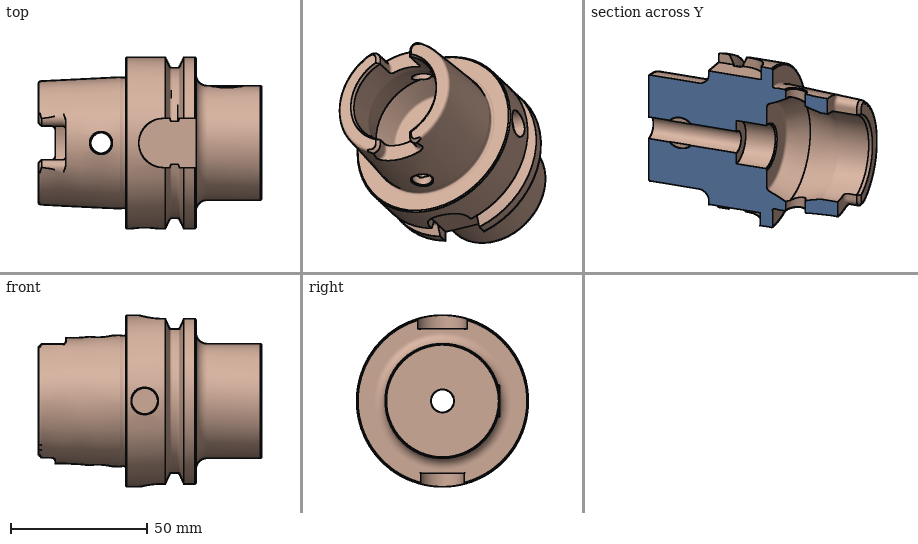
import cadquery as cq
import math

TOTAL_LENGTH = 81.9

TAPER_END_X = 29.9
TAPER_END_RADIUS = 24.2
TAPER_SLOPE = 0.05
NOSE_FILLET = 1.2

RELIEF_START_X = 30.8
RELIEF_RADIUS = 24.0
RELIEF_ARC_X = 31.5
RELIEF_ARC_RADIUS = 0.65
RELIEF_FACE_RADIUS = 25.3

FLANGE_START_X = 32.0
FLANGE_END_X = 57.8
FLANGE_RADIUS = 63.0 / 2
FLANGE_CHAMFER = 0.5
GROOVE_CENTRE_X = 49.95
GROOVE_MOUTH_HALF = 3.4
GROOVE_FLOOR_RADIUS = 27.6
GROOVE_WALL_ANGLE = 26.0
GROOVE_FILLET = 0.65

BARREL_RADIUS = 21.05
BARREL_FILLET = 4.0
BARREL_CHAMFER = 0.5

BORE_RADIUS = 16.95
BORE_DEPTH = 34.4
BORE_MOUTH_CHAMFER = 0.65
CAVITY_START_X = 13.0
CAVITY_WIDEST_X = 26.2
CAVITY_WIDEST_RADIUS = 20.55
CAVITY_FLOOR_RADIUS = 16.8
BORE_FLOOR_FILLET = 1.2
COUNTERBORE_RADIUS = 8.4
COUNTERBORE_CHAMFER = 0.5
COUNTERBORE_DEPTH = 12.3
COOLANT_RADIUS = 4.2

SLOT_HALF_WIDTH = 6.15
SLOT_CORNER_RADIUS = 2.9
SLOT_CORNER_Z = 18.0
SLOT_SHELF_ANGLE = 18.0
SLOT_EDGE = 1.2
UPPER_SLOT_DEPTH = 10.15
LOWER_SLOT_DEPTH = 6.15

KEYWAY_FLOOR_Z = 26.45
UPPER_KEYWAY_WIDTH = 18.0
UPPER_KEYWAY_START_X = 36.85
LOWER_KEYWAY_WIDTH = 16.05
LOWER_KEYWAY_START_X = 37.35

ACCESS_HOLE_X = 23.0
ACCESS_HOLE_RADIUS = 3.8
ACCESS_HOLE_CHAMFER = 0.4
CHIP_HOLE_X = 39.0
CHIP_HOLE_RADIUS = 5.0
CHIP_HOLE_DEPTH = 4.6
CHIP_HOLE_FLOOR_CHAMFER = 0.25

SCREW_X = 69.2
SCREW_RADIUS = 6.0
SCREW_CHAMFER = 0.5

CLEARANCE = 0.8


def turned_blank():
    """Outside of the holder, turned about the X axis, with the gripper groove still missing."""
    face_radius = TAPER_END_RADIUS - TAPER_SLOPE * TAPER_END_X
    arc_end_x = RELIEF_ARC_X + RELIEF_ARC_RADIUS
    arc_end_radius = RELIEF_RADIUS + RELIEF_ARC_RADIUS
    arc_mid_x = RELIEF_ARC_X + RELIEF_ARC_RADIUS * math.sin(math.pi / 4)
    arc_mid_radius = arc_end_radius - RELIEF_ARC_RADIUS * math.cos(math.pi / 4)
    fillet_end_x = FLANGE_END_X + BARREL_FILLET
    fillet_top_radius = BARREL_RADIUS + BARREL_FILLET
    fillet_mid = BARREL_FILLET * math.cos(math.pi / 4)
    profile = (
        cq.Workplane("XY")
        .lineTo(0, face_radius)
        .lineTo(TAPER_END_X, TAPER_END_RADIUS)
        .lineTo(RELIEF_START_X, RELIEF_RADIUS)
        .lineTo(RELIEF_ARC_X, RELIEF_RADIUS)
        .threePointArc((arc_mid_x, arc_mid_radius), (arc_end_x, arc_end_radius))
        .lineTo(FLANGE_START_X, RELIEF_FACE_RADIUS)
        .lineTo(FLANGE_START_X, FLANGE_RADIUS - FLANGE_CHAMFER)
        .lineTo(FLANGE_START_X + FLANGE_CHAMFER, FLANGE_RADIUS)
        .lineTo(FLANGE_END_X - FLANGE_CHAMFER, FLANGE_RADIUS)
        .lineTo(FLANGE_END_X, FLANGE_RADIUS - FLANGE_CHAMFER)
        .lineTo(FLANGE_END_X, fillet_top_radius)
        .threePointArc(
            (fillet_end_x - fillet_mid, fillet_top_radius - fillet_mid),
            (fillet_end_x, BARREL_RADIUS),
        )
        .lineTo(TOTAL_LENGTH - BARREL_CHAMFER, BARREL_RADIUS)
        .lineTo(TOTAL_LENGTH, BARREL_RADIUS - BARREL_CHAMFER)
        .lineTo(TOTAL_LENGTH, 0)
        .close()
    )
    blank = profile.revolve(360, (0, 0, 0), (1, 0, 0))
    return blank.faces("<X").edges().fillet(NOSE_FILLET)


def gripper_groove():
    """Ring with sloping walls and rounded floor corners, cut around the flange."""
    wall_slope = math.tan(math.radians(GROOVE_WALL_ANGLE))
    floor_half = GROOVE_MOUTH_HALF - (FLANGE_RADIUS - GROOVE_FLOOR_RADIUS) * wall_slope
    outer_radius = FLANGE_RADIUS + CLEARANCE
    outer_half = GROOVE_MOUTH_HALF + CLEARANCE * wall_slope
    ring = (
        cq.Workplane("XY")
        .moveTo(GROOVE_CENTRE_X - outer_half, outer_radius)
        .lineTo(GROOVE_CENTRE_X - floor_half, GROOVE_FLOOR_RADIUS)
        .lineTo(GROOVE_CENTRE_X + floor_half, GROOVE_FLOOR_RADIUS)
        .lineTo(GROOVE_CENTRE_X + outer_half, outer_radius)
        .close()
        .revolve(360, (0, 0, 0), (1, 0, 0))
    )
    floor_corners = cq.selectors.RadiusNthSelector(0)
    return ring.edges(floor_corners).fillet(GROOVE_FILLET)


def axial_disc(start_x, end_x, radius):
    """Cylinder on the tool axis."""
    return cq.Workplane("YZ", origin=(start_x, 0, 0)).circle(radius).extrude(end_x - start_x)


def stepped_bore():
    """Main bore with its wider cavity, counterbore and coolant passage."""
    counterbore_end_x = BORE_DEPTH + COUNTERBORE_DEPTH
    bore = (
        cq.Workplane("XY")
        .lineTo(0, BORE_RADIUS)
        .lineTo(CAVITY_START_X, BORE_RADIUS)
        .lineTo(CAVITY_WIDEST_X, CAVITY_WIDEST_RADIUS)
        .lineTo(BORE_DEPTH, CAVITY_FLOOR_RADIUS)
        .lineTo(BORE_DEPTH, 0)
        .close()
        .revolve(360, (0, 0, 0), (1, 0, 0))
        .faces(">X")
        .edges()
        .fillet(BORE_FLOOR_FILLET)
    )
    mouth = (
        cq.Workplane("YZ")
        .circle(BORE_RADIUS + BORE_MOUTH_CHAMFER)
        .workplane(offset=SLOT_EDGE)
        .circle(BORE_RADIUS)
        .loft()
    )
    counterbore = axial_disc(BORE_DEPTH, counterbore_end_x, COUNTERBORE_RADIUS)
    counterbore_mouth = (
        cq.Workplane("YZ", origin=(BORE_DEPTH, 0, 0))
        .circle(COUNTERBORE_RADIUS + COUNTERBORE_CHAMFER)
        .workplane(offset=COUNTERBORE_CHAMFER)
        .circle(COUNTERBORE_RADIUS)
        .loft()
    )
    passage = axial_disc(BORE_DEPTH, TOTAL_LENGTH, COOLANT_RADIUS)
    return bore.union(mouth).union(counterbore).union(counterbore_mouth).union(passage)


def slot_outline(x, offset):
    """Slot section at X: straight walls that curve outward over a round, then a falling shelf."""
    half = SLOT_HALF_WIDTH + offset
    radius = SLOT_CORNER_RADIUS - offset
    corner_y = half + radius
    arc_mid_y = corner_y - radius * math.cos(math.pi / 4)
    arc_mid_z = SLOT_CORNER_Z + radius * math.sin(math.pi / 4)
    shelf_angle = math.radians(SLOT_SHELF_ANGLE)
    arc_end_y = corner_y + radius * math.sin(shelf_angle)
    arc_end_z = SLOT_CORNER_Z + radius * math.cos(shelf_angle)
    far = TAPER_END_RADIUS + 5 * CLEARANCE
    far_z = arc_end_z - (far - arc_end_y) * math.tan(shelf_angle)
    return (
        cq.Workplane("YZ", origin=(x, 0, 0))
        .moveTo(-half, 0)
        .lineTo(-half, SLOT_CORNER_Z)
        .threePointArc((-arc_mid_y, arc_mid_z), (-arc_end_y, arc_end_z))
        .lineTo(-far, far_z)
        .lineTo(-far, far)
        .lineTo(far, far)
        .lineTo(far, far_z)
        .lineTo(arc_end_y, arc_end_z)
        .threePointArc((arc_mid_y, arc_mid_z), (half, SLOT_CORNER_Z))
        .lineTo(half, 0)
        .close()
    )


def drive_slot(depth):
    """Slot open to +Z, with a chamfered mouth and a rounded floor."""
    slot = slot_outline(0, 0).extrude(depth).faces(">X").edges().fillet(SLOT_EDGE)
    mouth_wire = slot_outline(0, SLOT_EDGE).ctx.pendingWires[0]
    inner_wire = slot_outline(SLOT_EDGE, 0).ctx.pendingWires[0]
    mouth = cq.Solid.makeLoft([mouth_wire, inner_wire], True)
    return slot.union(cq.Workplane(mouth))


def keyway(start_x, width):
    """Flat-floored keyway open to +Z and +X, with a semicircular end."""
    radius = width / 2
    height = FLANGE_RADIUS - KEYWAY_FLOOR_Z + CLEARANCE
    end_x = FLANGE_END_X + BARREL_FILLET
    return (
        cq.Workplane("XY", origin=(0, 0, KEYWAY_FLOOR_Z))
        .moveTo(start_x + radius, radius)
        .threePointArc((start_x, 0), (start_x + radius, -radius))
        .lineTo(end_x, -radius)
        .lineTo(end_x, radius)
        .close()
        .extrude(height)
    )


def turned_over(cutter):
    """The same cutter on the -Z side."""
    return cutter.rotate((0, 0, 0), (1, 0, 0), 180)


def cut_access_hole(holder):
    """Drill a cross hole through both walls of the taper and chamfer its two outer edges."""
    drilled = holder.cut(
        cq.Workplane("XY", origin=(ACCESS_HOLE_X, 0, -FLANGE_RADIUS))
        .circle(ACCESS_HOLE_RADIUS)
        .extrude(2 * FLANGE_RADIUS)
    )
    reach = ACCESS_HOLE_RADIUS + CLEARANCE
    inner_limit = CAVITY_WIDEST_RADIUS + CLEARANCE
    upper_edge = cq.selectors.BoxSelector(
        (ACCESS_HOLE_X - reach, -reach, inner_limit),
        (ACCESS_HOLE_X + reach, reach, FLANGE_RADIUS),
    )
    lower_edge = cq.selectors.BoxSelector(
        (ACCESS_HOLE_X - reach, -reach, -FLANGE_RADIUS),
        (ACCESS_HOLE_X + reach, reach, -inner_limit),
    )
    return drilled.edges(upper_edge + lower_edge).chamfer(ACCESS_HOLE_CHAMFER)


def chip_hole():
    """Flat-bottomed pocket for the data chip on the -Y side of the flange."""
    return (
        cq.Workplane("XZ", origin=(CHIP_HOLE_X, CHIP_HOLE_DEPTH - FLANGE_RADIUS, 0))
        .circle(CHIP_HOLE_RADIUS)
        .extrude(CHIP_HOLE_DEPTH + CLEARANCE)
        .faces(">Y")
        .edges()
        .chamfer(CHIP_HOLE_FLOOR_CHAMFER)
    )


def radial_cylinder(start_y, end_y):
    """Cylinder of the clamping screw's size, pointing along +Y."""
    return (
        cq.Workplane("XZ", origin=(SCREW_X, start_y, 0))
        .circle(SCREW_RADIUS)
        .extrude(start_y - end_y)
    )


def make_holder():
    """Tool holder with taper shank, gripper flange and cylindrical nose."""
    milled = (
        turned_blank()
        .cut(gripper_groove())
        .cut(stepped_bore())
        .cut(drive_slot(UPPER_SLOT_DEPTH))
        .cut(turned_over(drive_slot(LOWER_SLOT_DEPTH)))
        .cut(keyway(UPPER_KEYWAY_START_X, UPPER_KEYWAY_WIDTH))
        .cut(turned_over(keyway(LOWER_KEYWAY_START_X, LOWER_KEYWAY_WIDTH)))
        .cut(chip_hole())
        .cut(radial_cylinder(0, BARREL_RADIUS + CLEARANCE))
    )
    return cut_access_hole(milled)


def make_clamping_screw():
    """Headless screw from the coolant passage to the outside of the nose."""
    screw = radial_cylinder(COOLANT_RADIUS, BARREL_RADIUS)
    return screw.faces(">Y").edges().chamfer(SCREW_CHAMFER)


holder = make_holder()
clamping_screw = make_clamping_screw()

result = cq.Compound.makeCompound([holder.val(), clamping_screw.val()])